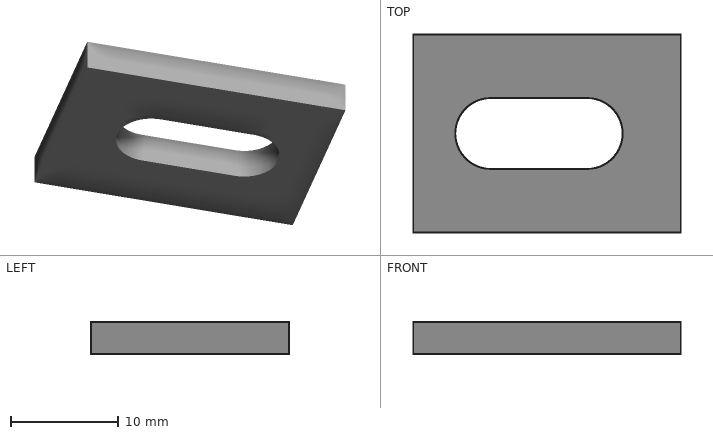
import cadquery as cq

plate_length = 25
plate_width = 18.5
plate_thickness = 3

slot_length = 15.6
slot_width = 6.6
slot_offset_x = -0.75

plate = cq.Workplane("XY").box(plate_length, plate_width, plate_thickness)

result = (
    plate.faces(">Z")
    .workplane()
    .center(slot_offset_x, 0)
    .slot2D(slot_length, slot_width)
    .cutThruAll()
)